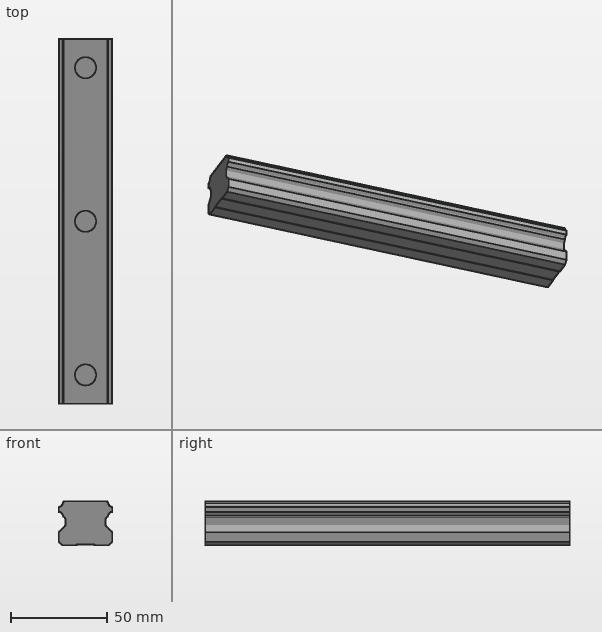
import cadquery as cq

length = 190.0
width = 28.0
height = 23.0
half_width = width / 2

groove_width = 1.9
groove_height = 1.9
groove_sag = 0.48
groove_outer_x = half_width - 0.2
groove_inner_x = groove_outer_x - groove_width
upper_groove_floor = 20.1
lower_groove_roof = 17.5

top_half_width = 11.2
flange_top = 19.8
flange_bottom = 17.3
lower_bevel_width = 0.4
lower_bevel_height = 0.5

waist_half_width = 10.5
waist_radius = 1.5
shoulder_height = 6.8

base_chamfer = 1.9
relief_width = 9.1
relief_depth = 0.4

recess_count = 3
recess_pitch = 80.0
recess_diameter = 11.0
recess_depth = 0.1


def half_rail():
    """Right half of the rail, with its waist corners rounded."""
    waist_bottom = shoulder_height + half_width - waist_half_width
    lower_groove_end = lower_groove_roof - groove_height
    slope_top_x = groove_inner_x - lower_bevel_width
    slope_top_z = lower_groove_end - lower_bevel_height
    waist_top = slope_top_z - (slope_top_x - waist_half_width)

    profile = (
        cq.Workplane("XZ")
        .moveTo(0, relief_depth)
        .lineTo(relief_width / 2, relief_depth)
        .lineTo(relief_width / 2, 0)
        .lineTo(half_width - base_chamfer, 0)
        .lineTo(half_width, base_chamfer)
        .lineTo(half_width, shoulder_height)
        .lineTo(waist_half_width, waist_bottom)
        .lineTo(waist_half_width, waist_top)
        .lineTo(slope_top_x, slope_top_z)
        .lineTo(groove_inner_x, lower_groove_end)
        .sagittaArc((groove_outer_x, lower_groove_roof), groove_sag)
        .lineTo(half_width, flange_bottom)
        .lineTo(half_width, flange_top)
        .lineTo(groove_outer_x, upper_groove_floor)
        .sagittaArc((groove_inner_x, upper_groove_floor + groove_height), groove_sag)
        .lineTo(top_half_width, height)
        .lineTo(0, height)
        .close()
    )
    half = profile.extrude(length / 2, both=True)

    margin = waist_radius / 10
    waist_corners = cq.selectors.BoxSelector(
        (waist_half_width - margin, -length, waist_bottom - margin),
        (waist_half_width + margin, length, waist_top + margin),
    )
    return half.edges("|Y").edges(waist_corners).fillet(waist_radius)


def top_recesses():
    """Row of shallow round recesses along the centre of the top face."""
    return (
        cq.Workplane("XY", origin=(0, 0, height))
        .rarray(1.9, recess_pitch, 1, recess_count)
        .circle(recess_diameter / 2)
        .extrude(-recess_depth)
    )


right_half = half_rail()
rail = right_half.union(right_half.mirror("YZ"))
result = rail.cut(top_recesses())